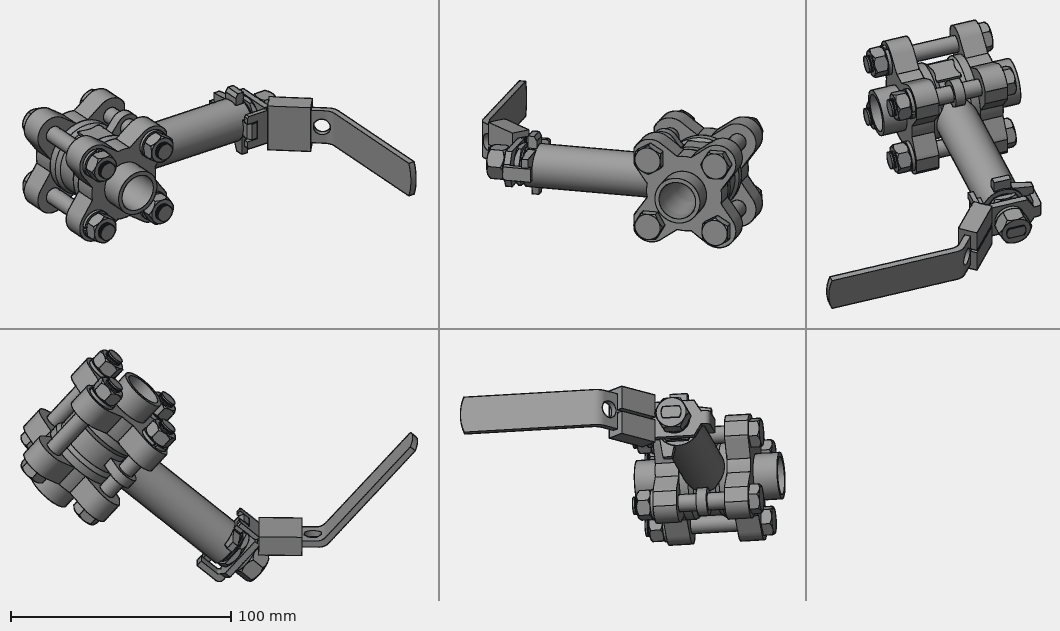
import cadquery as cq
import math


OVERALL_LENGTH = 135.4

PIPE_HALF_LENGTH = 32.9
PIPE_DIAMETER = 21.3
BORE_DIAMETER = 15.0
SOCKET_DIAMETER = 17.3
SOCKET_DEPTH = 6.5
NECK_DIAMETER = 35.5
LIP_INNER_X = 7.2
LIP_DIAMETER = 35.2
WAIST_WIDTH = 10.2
WAIST_RADIUS = 16.2
PAD_SIZE = 11.9

FLANGE_INNER_X = 11.1
FLANGE_OUTER_X = 22.0
BOLT_OFFSET = 15.8
FLANGE_LOBE_DIAMETER = 17.2
FLANGE_LOBE_FOOT = 3.2
FLANGE_FLAT_Y = 23.7
FLANGE_REACH = BOLT_OFFSET + FLANGE_LOBE_DIAMETER / 2
EAR_RADIUS = 6.2
EAR_FOOT = 6.9
EAR_THICKNESS = 4.7

WASHER_SPLIT = 1.2

BOLT_DIAMETER = 7.9
BOLT_TIP_X = 32.1
THREAD_GROOVE_X = 30.6
THREAD_GROOVE_WIDTH = 0.5
THREAD_GROOVE_DIAMETER = 7.0
HEX_FLATS = 11.9
HEAD_HEIGHT = 4.9
BOLT_WASHER_DIAMETER = 13.8
BOLT_WASHER_THICKNESS = 1.6
NUT_HEIGHT = 6.4

COLUMN_DIAMETER = 20.0
COLUMN_START_Y = 12.2
COLUMN_TOP_Y = 79.8
SPRING_DIAMETER = 16.2
SPRING_NECK_DIAMETER = 15.0
GLAND_NUT_Y = 81.8
GLAND_NUT_HEIGHT = 2.6
GLAND_NUT_FLATS = 17.3
LEVER_BOTTOM_Y = 85.0
STEM_WASHER_DIAMETER = 13.7
STEM_NUT_Y = 89.8
STEM_NUT_HEIGHT = 7.9
STEM_NUT_FLATS = 13.8
STEM_DIAMETER = 9.2
STEM_FLATS = 5.4
STEM_TOP_Y = 98.3

STOP_TOP_Y = 79.0
STOP_THICKNESS = 4.2
STOP_REACH = 14.9
STOP_CHAMFER_DEPTH = 1.2
STOP_CHAMFER_HEIGHT = 2.0
BLOCK_LUG_WIDTH = 8.0
SIDE_LUG_BOTTOM_Z = 3.1
SIDE_LUG_TIP_Z = 7.2
SIDE_LUG_ROOT_Z = 9.0
SIDE_LUG_ROOT_X = 4.9
SIDE_LUG_TIP_THICKNESS = 3.1

LEVER_THICKNESS = 3.0
LEVER_WIDTH = 16.8
LEVER_TOP_Y = OVERALL_LENGTH - FLANGE_REACH
LEVER_END_X = 94.9
LEVER_END_SAGITTA = 1.6
LEVER_ANGLE = 50
LEVER_CORNER_X = 31.1
LEVER_BEND_RADIUS = 5.8
LEVER_HOLE_DIAMETER = 7.9
LEVER_HOLE_ADVANCE = 4.9
TONGUE_WIDTH = 6.2
TONGUE_TIP_X = -16.0
TAPER_START_X = -12.0
TAPER_END_X = -8.8
TONGUE_BOTTOM_Y = 74.3
TONGUE_OUTER_RADIUS = 2.3
TONGUE_INNER_RADIUS = 1.2

SLEEVE_LENGTH = 19.6
SLEEVE_DEPTH = 9.1
SLEEVE_WIDTH = 22.6
SLEEVE_SLIT = 1.4
SLEEVE_TOP_X = 24.9
LATCH_X = 12.5
LATCH_THICKNESS = 2.3
LATCH_TOP_Y = 85.3
LATCH_BOTTOM_Y = 73.7
LATCH_TOP_CHAMFER = 1.0
LATCH_TIP_CHAMFER = 0.8
LATCH_NOTCH_TOP_Y = 79.4
LATCH_NOTCH_WIDTH = 9.0


def cylinder_x(diameter, x_start, x_end):
    return cq.Workplane("YZ", origin=(x_start, 0, 0)).circle(diameter / 2).extrude(x_end - x_start)


def cylinder_y(diameter, y_start, y_end):
    return cq.Workplane("ZX", origin=(0, y_start, 0)).circle(diameter / 2).extrude(y_end - y_start)


def box_between(low, high):
    size = [b - a for a, b in zip(low, high)]
    return cq.Workplane("XY").box(*size, centered=False).translate(low)


def hexagon(plane, flats, height, chamfer_start, chamfer_end):
    """Hexagon prism rising from a plane, its corners turned off to the inscribed circle."""
    corners = flats / math.cos(math.radians(30))
    drop = (corners - flats) / 2
    prism = cq.Workplane(plane).polygon(6, corners).extrude(height)
    turned = cq.Workplane(plane).circle(corners / 2).extrude(height)
    if chamfer_start:
        turned = turned.faces(cq.NearestToPointSelector(plane.origin.toTuple())).chamfer(drop)
    if chamfer_end:
        end = plane.origin + plane.zDir * height
        turned = turned.faces(cq.NearestToPointSelector(end.toTuple())).chamfer(drop)
    return prism.intersect(turned)


def lobe(radius, foot_y, foot_radius, x_start, thickness):
    """Rounded ear at the +Y +Z bolt, with sides tangent to its round and running to the body."""
    foot_z = math.sqrt(foot_radius**2 - foot_y**2)
    to_bolt = (BOLT_OFFSET - foot_y, BOLT_OFFSET - foot_z)
    distance = math.hypot(*to_bolt)
    side_angle = math.atan2(to_bolt[1], to_bolt[0]) + math.asin(radius / distance)
    side_length = math.sqrt(distance**2 - radius**2)
    tangent_y = foot_y + side_length * math.cos(side_angle)
    tangent_z = foot_z + side_length * math.sin(side_angle)
    crown = BOLT_OFFSET + radius / math.sqrt(2)
    return (
        cq.Workplane("YZ", origin=(x_start, 0, 0))
        .moveTo(0, 0)
        .lineTo(foot_y, foot_z)
        .lineTo(tangent_y, tangent_z)
        .threePointArc((crown, crown), (tangent_z, tangent_y))
        .lineTo(foot_z, foot_y)
        .close()
        .extrude(thickness)
    )


def split_washer(plane, diameter, thickness):
    """Spring washer rising from a plane, split towards the plane's local +X."""
    split = cq.Workplane(plane).center(diameter / 4, 0).rect(diameter / 2, WASHER_SPLIT).extrude(thickness)
    return cq.Workplane(plane).circle(diameter / 2).extrude(thickness).cut(split)


def turned_about_pipe(shape, quarter_turns):
    return shape.rotate((0, 0, 0), (1, 0, 0), 90 * quarter_turns)


def make_body():
    lip_radius = LIP_DIAMETER / 2
    half_waist = WAIST_WIDTH / 2
    profile = [
        (-FLANGE_INNER_X, 0),
        (-FLANGE_INNER_X, lip_radius),
        (-LIP_INNER_X, lip_radius),
        (-half_waist, WAIST_RADIUS),
        (half_waist, WAIST_RADIUS),
        (LIP_INNER_X, lip_radius),
        (FLANGE_INNER_X, lip_radius),
        (FLANGE_INNER_X, 0),
    ]
    body = cq.Workplane("XY").polyline(profile).close().revolve(360, (0, 0, 0), (1, 0, 0))
    pad = cq.Workplane("XY").rect(PAD_SIZE, PAD_SIZE).extrude(WAIST_RADIUS)
    ear = lobe(EAR_RADIUS, EAR_FOOT, WAIST_RADIUS, -EAR_THICKNESS / 2, EAR_THICKNESS)
    return body.union(pad).union(ear).union(turned_about_pipe(ear, -1))


def make_flange(x_start):
    thickness = FLANGE_OUTER_X - FLANGE_INNER_X
    flange = cylinder_x(NECK_DIAMETER, x_start, x_start + thickness)
    flange_lobe = lobe(FLANGE_LOBE_DIAMETER / 2, FLANGE_LOBE_FOOT, NECK_DIAMETER / 2, x_start, thickness)
    for quarter in range(4):
        flange = flange.union(turned_about_pipe(flange_lobe, quarter))
    trim = box_between(
        (x_start, FLANGE_FLAT_Y, -FLANGE_REACH), (x_start + thickness, FLANGE_REACH, FLANGE_REACH)
    )
    return flange.cut(trim)


def make_bolt():
    """Bolt, spring washer and nut along X, centred on the X axis with a hexagon corner on +Z."""

    def section(x, x_dir):
        return cq.Plane(origin=(x, 0, 0), xDir=x_dir, normal=(1, 0, 0))

    head_start = -FLANGE_OUTER_X - HEAD_HEIGHT
    washer_end = FLANGE_OUTER_X + BOLT_WASHER_THICKNESS
    groove_end = THREAD_GROOVE_X + THREAD_GROOVE_WIDTH
    shank = cylinder_x(BOLT_DIAMETER, -FLANGE_OUTER_X, BOLT_TIP_X)
    groove = cylinder_x(BOLT_DIAMETER, THREAD_GROOVE_X, groove_end)
    groove = groove.cut(cylinder_x(THREAD_GROOVE_DIAMETER, THREAD_GROOVE_X, groove_end))
    head = hexagon(section(head_start, (0, 0, 1)), HEX_FLATS, HEAD_HEIGHT, True, False)
    nut = hexagon(section(washer_end, (0, 0, 1)), HEX_FLATS, NUT_HEIGHT, True, True)
    washer = split_washer(
        section(FLANGE_OUTER_X, (0, -1, 0)), BOLT_WASHER_DIAMETER, BOLT_WASHER_THICKNESS
    )
    return washer.union(shank.cut(groove)).union(head).union(nut)


def make_column():
    """Stem housing, spring washers, gland nut, stem and stem nut."""

    def section(y):
        return cq.Plane(origin=(0, y, 0), xDir=(1, 0, 0), normal=(0, 1, 0))

    spring_middle_y = (COLUMN_TOP_Y + GLAND_NUT_Y) / 2
    spring = (
        cq.Workplane("XY")
        .polyline(
            [
                (0, COLUMN_TOP_Y),
                (SPRING_NECK_DIAMETER / 2, COLUMN_TOP_Y),
                (SPRING_DIAMETER / 2, spring_middle_y),
                (SPRING_NECK_DIAMETER / 2, GLAND_NUT_Y),
                (0, GLAND_NUT_Y),
            ]
        )
        .close()
        .revolve(360, (0, 0, 0), (0, 1, 0))
    )
    stem_radius = STEM_DIAMETER / 2
    stem = cylinder_y(STEM_DIAMETER, COLUMN_TOP_Y, STEM_TOP_Y).intersect(
        box_between(
            (-stem_radius, COLUMN_TOP_Y, -STEM_FLATS / 2), (stem_radius, STEM_TOP_Y, STEM_FLATS / 2)
        )
    )
    washer_start = LEVER_BOTTOM_Y + LEVER_THICKNESS
    washer_plane = cq.Plane(origin=(0, washer_start, 0), xDir=(-1, 0, 0), normal=(0, 1, 0))
    return (
        cylinder_y(COLUMN_DIAMETER, COLUMN_START_Y, COLUMN_TOP_Y)
        .union(spring)
        .union(hexagon(section(GLAND_NUT_Y), GLAND_NUT_FLATS, GLAND_NUT_HEIGHT, False, True))
        .union(stem)
        .union(split_washer(washer_plane, STEM_WASHER_DIAMETER, STEM_NUT_Y - washer_start))
        .union(hexagon(section(STEM_NUT_Y), STEM_NUT_FLATS, STEM_NUT_HEIGHT, True, True))
    )


def make_stop_plate():
    """Lugs around the column top: chamfered blocks on +Z and +X, tapered lugs on -X and -Z."""
    bottom_y = STOP_TOP_Y - STOP_THICKNESS
    half_width = BLOCK_LUG_WIDTH / 2
    block = (
        cq.Workplane("YZ", origin=(-half_width, 0, 0))
        .polyline(
            [
                (bottom_y, 0),
                (STOP_TOP_Y, 0),
                (STOP_TOP_Y, STOP_REACH),
                (bottom_y + STOP_CHAMFER_DEPTH, STOP_REACH),
                (bottom_y, STOP_REACH - STOP_CHAMFER_HEIGHT),
            ]
        )
        .close()
        .extrude(BLOCK_LUG_WIDTH)
    )
    side_outline = (
        cq.Workplane("ZX", origin=(0, bottom_y, 0))
        .polyline(
            [
                (0, 0),
                (SIDE_LUG_BOTTOM_Z, -STOP_REACH),
                (SIDE_LUG_TIP_Z, -STOP_REACH),
                (SIDE_LUG_ROOT_Z, -SIDE_LUG_ROOT_X),
            ]
        )
        .close()
        .extrude(STOP_THICKNESS)
    )
    side_taper = (
        cq.Workplane("XY")
        .polyline(
            [
                (0, STOP_TOP_Y),
                (-STOP_REACH, STOP_TOP_Y),
                (-STOP_REACH, STOP_TOP_Y - SIDE_LUG_TIP_THICKNESS),
                (-SIDE_LUG_ROOT_X, bottom_y),
                (0, bottom_y),
            ]
        )
        .close()
        .extrude(STOP_REACH)
    )
    side = side_outline.intersect(side_taper)
    lug_pair = block.union(side)
    return lug_pair.union(lug_pair.mirror("XY").rotate((0, 0, 0), (0, 1, 0), -90))


SLOPE = math.radians(LEVER_ANGLE)
LEVER_MIDDLE_Y = LEVER_TOP_Y - LEVER_THICKNESS / 2
SLEEVE_TOP_DISTANCE = (LEVER_CORNER_X - SLEEVE_TOP_X) / math.cos(SLOPE)


def place_on_slope(shape):
    """Turn a shape drawn along X onto the slope, moving its origin to the lever corner."""
    turned = shape.rotate((0, 0, 0), (0, 0, 1), LEVER_ANGLE)
    return turned.translate((LEVER_CORNER_X, LEVER_MIDDLE_Y, 0))


def make_lever():
    half_width = LEVER_WIDTH / 2
    half_tongue = TONGUE_WIDTH / 2
    bottom_y = LEVER_TOP_Y - LEVER_THICKNESS
    tip_start_x = LEVER_END_X - LEVER_END_SAGITTA
    plate_middle_y = LEVER_BOTTOM_Y + LEVER_THICKNESS / 2
    slope_length = (LEVER_MIDDLE_Y - plate_middle_y) / math.sin(SLOPE)
    slope_foot_x = LEVER_CORNER_X - slope_length * math.cos(SLOPE)

    mitre = LEVER_THICKNESS / 2 * math.tan(SLOPE / 2)
    across_x = LEVER_THICKNESS / 2 * math.sin(SLOPE)
    across_y = LEVER_THICKNESS / 2 * math.cos(SLOPE)
    outer_corner = (LEVER_CORNER_X - mitre, LEVER_TOP_Y)
    inner_corner = (LEVER_CORNER_X + mitre, bottom_y)
    strip = (
        cq.Workplane("XY", origin=(0, 0, -half_width))
        .polyline(
            [
                outer_corner,
                (tip_start_x, LEVER_TOP_Y),
                (tip_start_x, bottom_y),
                inner_corner,
                (slope_foot_x + across_x, plate_middle_y - across_y),
                (slope_foot_x - across_x, plate_middle_y + across_y),
            ]
        )
        .close()
        .extrude(LEVER_WIDTH)
    )
    for corner in (outer_corner, inner_corner):
        strip = strip.edges(cq.NearestToPointSelector((*corner, 0))).fillet(LEVER_BEND_RADIUS)
    tip = (
        cq.Workplane("ZX", origin=(0, bottom_y, 0))
        .moveTo(-half_width, tip_start_x)
        .threePointArc((0, LEVER_END_X), (half_width, tip_start_x))
        .close()
        .extrude(LEVER_THICKNESS)
    )
    hole = (
        cq.Workplane("ZX")
        .circle(LEVER_HOLE_DIAMETER / 2)
        .extrude(LEVER_THICKNESS, both=True)
        .translate((LEVER_HOLE_ADVANCE - SLEEVE_TOP_DISTANCE, 0, 0))
    )
    plate = (
        cq.Workplane("ZX", origin=(0, LEVER_BOTTOM_Y, 0))
        .polyline(
            [
                (-half_tongue, TONGUE_TIP_X),
                (-half_tongue, TAPER_START_X),
                (-half_width, TAPER_END_X),
                (-half_width, slope_foot_x),
                (half_width, slope_foot_x),
                (half_width, TAPER_END_X),
                (half_tongue, TAPER_START_X),
                (half_tongue, TONGUE_TIP_X),
            ]
        )
        .close()
        .extrude(LEVER_THICKNESS)
    )
    tongue = box_between(
        (TONGUE_TIP_X, TONGUE_BOTTOM_Y, -half_tongue),
        (TONGUE_TIP_X + LEVER_THICKNESS, LEVER_BOTTOM_Y + LEVER_THICKNESS, half_tongue),
    )
    anchor = plate.union(tongue)
    outer_edge = (TONGUE_TIP_X, LEVER_BOTTOM_Y + LEVER_THICKNESS, 0)
    inner_edge = (TONGUE_TIP_X + LEVER_THICKNESS, LEVER_BOTTOM_Y, 0)
    anchor = anchor.edges(cq.NearestToPointSelector(outer_edge)).fillet(TONGUE_OUTER_RADIUS)
    anchor = anchor.edges(cq.NearestToPointSelector(inner_edge)).fillet(TONGUE_INNER_RADIUS)
    return strip.cut(place_on_slope(hole)).union(tip).union(anchor)


def make_sleeve():
    center_x = -SLEEVE_TOP_DISTANCE - SLEEVE_LENGTH / 2
    sleeve = cq.Workplane("XY").box(SLEEVE_LENGTH, SLEEVE_DEPTH, SLEEVE_WIDTH)
    channel = cq.Workplane("XY").box(SLEEVE_LENGTH, LEVER_THICKNESS, LEVER_WIDTH)
    slit_depth = SLEEVE_DEPTH / 2
    slit = cq.Workplane("XY").box(SLEEVE_LENGTH, slit_depth, SLEEVE_SLIT).translate((0, slit_depth / 2, 0))
    sleeve = place_on_slope(sleeve.cut(channel).cut(slit).translate((center_x, 0, 0)))
    latch = box_between(
        (LATCH_X, LATCH_BOTTOM_Y, -LEVER_WIDTH / 2),
        (LATCH_X + LATCH_THICKNESS, LATCH_TOP_Y, LEVER_WIDTH / 2),
    )
    latch = latch.edges("|Z and <X and >Y").chamfer(LATCH_TOP_CHAMFER)
    latch = latch.edges("|X and <Y").chamfer(LATCH_TIP_CHAMFER)
    notch = box_between(
        (LATCH_X, LATCH_BOTTOM_Y, -LATCH_NOTCH_WIDTH / 2),
        (LATCH_X + LATCH_THICKNESS, LATCH_NOTCH_TOP_Y, LATCH_NOTCH_WIDTH / 2),
    )
    return sleeve.union(latch.cut(notch))


def make_bore():
    """Through bore, coned out on each side to the socket at the pipe end."""
    socket_x = PIPE_HALF_LENGTH - SOCKET_DEPTH
    bore_radius = BORE_DIAMETER / 2
    socket_radius = SOCKET_DIAMETER / 2
    profile = [
        (-PIPE_HALF_LENGTH, 0),
        (-PIPE_HALF_LENGTH, socket_radius),
        (-socket_x, socket_radius),
        (-FLANGE_INNER_X, bore_radius),
        (FLANGE_INNER_X, bore_radius),
        (socket_x, socket_radius),
        (PIPE_HALF_LENGTH, socket_radius),
        (PIPE_HALF_LENGTH, 0),
    ]
    return cq.Workplane("XY").polyline(profile).close().revolve(360, (0, 0, 0), (1, 0, 0))


valve = make_body()
valve = valve.union(make_flange(-FLANGE_OUTER_X)).union(make_flange(FLANGE_INNER_X))
valve = valve.union(cylinder_x(PIPE_DIAMETER, -PIPE_HALF_LENGTH, PIPE_HALF_LENGTH))

bolt_at_corner = make_bolt().translate((0, -BOLT_OFFSET, -BOLT_OFFSET))
for quarter in range(4):
    valve = valve.union(turned_about_pipe(bolt_at_corner, quarter))

valve = valve.union(make_column()).union(make_stop_plate())
valve = valve.union(make_lever()).union(make_sleeve())
result = valve.cut(make_bore())